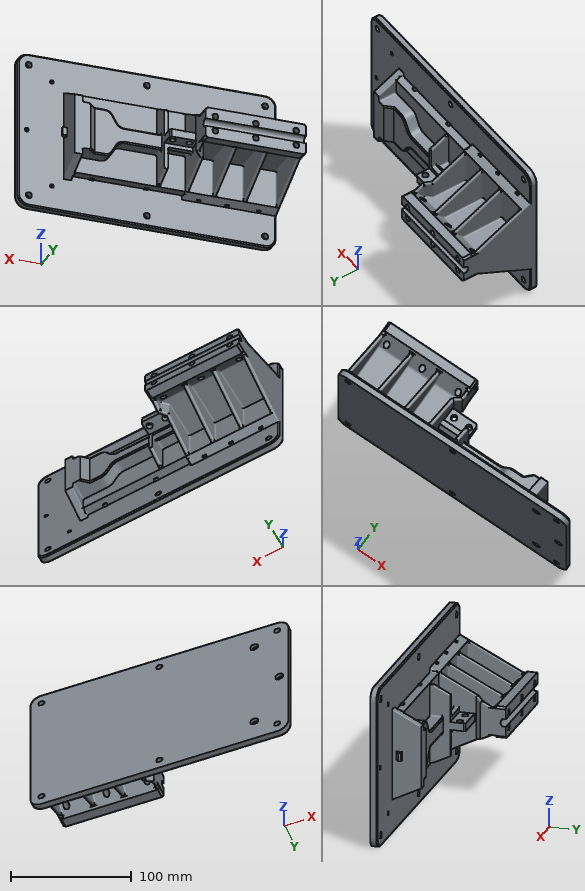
import cadquery as cq
import math

PLATE_LENGTH = 230.0
PLATE_HEIGHT = 140.0
PLATE_THICKNESS = 6.5
PLATE_CORNER_RADIUS = 10.0
PLATE_CHAMFER = 1.2
BOLT_DIAMETER = 5.3
SCREW_DIAMETER = 3.2
SCREW_HEAD_DIAMETER = 7.0
SCREW_HEAD_DEPTH = PLATE_THICKNESS / 2
SCREW_POSITIONS = [(199.6, 48.0), (199.6, -48.0), (222.0, 0)]

TOTAL_DEPTH = 73.8
BRACKET_LENGTH = 84.2
HEAD_LENGTH = 89.5
HEAD_HALF_HEIGHT = 13.8
HEAD_FRONT = 65.0
HEAD_END_CHAMFER = 1.8
NECK_DEPTH = 62.0
NECK_HALF_HEIGHT = HEAD_HALF_HEIGHT - HEAD_END_CHAMFER
FOOT_HALF_HEIGHT = 39.8
TAPER = (FOOT_HALF_HEIGHT - NECK_HALF_HEIGHT) / (NECK_DEPTH - PLATE_THICKNESS)
JOG_ANGLE = math.radians(45)
JOG_START = 46.5
JOG_END = JOG_START + (HEAD_LENGTH - BRACKET_LENGTH) * math.tan(JOG_ANGLE)

WEB_HALF = 2.8
RIB_THICKNESS = 3.2
RIB_ROUND = 1.4
RIB_CENTRES = [31.0, 58.2]
POCKET_FLOOR = 14.3
POCKET_FILLET = 1.4
FLARE_FILLET = 2.8
FLOOR_HALF_HEIGHT = FOOT_HALF_HEIGHT - TAPER * (POCKET_FLOOR - PLATE_THICKNESS)
CUT_MARGIN = 7.0
POCKET_OUTER = FOOT_HALF_HEIGHT + CUT_MARGIN

GROOVE_WIDTH = 7.0
GROOVE_CENTRE_DEPTH = 72.7
HEAD_HOLE_DIAMETER = 5.0
HEAD_HOLE_X = [8.7, 44.6, 80.7]
HEAD_HOLE_Z = 6.7

LUG_END = 109.5
LUG_HALF = 3.5
LUG_TOP = 45.0
LUG_SHOULDER = 31.7
LUG_BAND_BOTTOM = 27.0
LUG_BAND_HALF = 7.0
LUG_CORNER = 1.4
LUG_HOLE_DIAMETER = 5.3
LUG_HOLE_X = [90.0, 104.9]
LUG_HOLE_Y = 38.9

ARM_END = 189.3
ARM_FILLET = 1.8
BRACKET_SIDE_FILLET = 1.2
SPINE_TOP = 26.0
SPINE_CHAMFER = 1.2
STEP_CENTRE = 151.0
STEP_HALF_LENGTH = 8.7
STEP_BEND_LENGTH = 7.0
STEP_ANGLE = math.radians(60)
SPINE_HALF = 7.0
RAMP_START = 169.0
END_WALL_THICKNESS = 7.1
END_WALL_ROUND = 0.7
END_WALL_TOP = 31.7

HOOK_LENGTH = 4.1
HOOK_BOTTOM = 10.0
HOOK_TOP = 15.5
HOOK_TIP = 2.5
HOOK_WIDTH = 7.0
TAB_WIDTH = 3.5
TAB_TOP = 9.0
TAB_PROJECTION = 0.7
BRACKET_TAB_X = [16.3, 44.6, 70.0]
ARM_TAB_X = [116.2, 164.7]


def box(x_range, y_range, half_height):
    """Block centred on Z = 0."""
    size_x = x_range[1] - x_range[0]
    size_y = y_range[1] - y_range[0]
    block = cq.Workplane("XY").box(size_x, size_y, 2 * half_height, centered=(False, False, True))
    return block.translate((x_range[0], y_range[0], 0))


def slab_along_x(outline, x_range):
    """Extrude a (Y, Z) outline along X."""
    length = x_range[1] - x_range[0]
    return cq.Workplane("YZ", origin=(x_range[0], 0, 0)).polyline(outline).close().extrude(length)


def slab_along_z(outline, half_height):
    """Extrude an (X, Y) outline equally to both sides of Z = 0."""
    return cq.Workplane("XY").polyline(outline).close().extrude(half_height, both=True)


def hole_along_y(x, z, diameter, start, length):
    centre = cq.Vector(x, start, z)
    return cq.Workplane(cq.Solid.makeCylinder(diameter / 2, length, centre, cq.Vector(0, 1, 0)))


def with_mirror(body):
    """Join a body with its mirror image across Z = 0."""
    return body.union(body.mirror("XY"))


def taper_half_height(depth):
    return FOOT_HALF_HEIGHT - TAPER * (depth - PLATE_THICKNESS)


def make_plate():
    plate = cq.Workplane("XZ").rect(PLATE_LENGTH, PLATE_HEIGHT).extrude(-PLATE_THICKNESS)
    plate = plate.translate((PLATE_LENGTH / 2, 0, 0))
    plate = plate.edges("|Y").fillet(PLATE_CORNER_RADIUS)
    plate = plate.faces(">Y").edges().chamfer(PLATE_CHAMFER)
    edge = PLATE_CORNER_RADIUS
    for x in (edge, PLATE_LENGTH / 2, PLATE_LENGTH - edge):
        for z in (edge - PLATE_HEIGHT / 2, PLATE_HEIGHT / 2 - edge):
            plate = plate.cut(hole_along_y(x, z, BOLT_DIAMETER, 0, PLATE_THICKNESS))
    for x, z in SCREW_POSITIONS:
        plate = plate.cut(hole_along_y(x, z, SCREW_DIAMETER, 0, PLATE_THICKNESS))
        plate = plate.cut(hole_along_y(x, z, SCREW_HEAD_DIAMETER, 0, SCREW_HEAD_DEPTH))
    return plate


def tapered_outline(top):
    """Half outline of the taper from inside the plate up to a given depth."""
    foot = PLATE_THICKNESS / 2
    return [
        (foot, 0),
        (foot, FOOT_HALF_HEIGHT),
        (PLATE_THICKNESS, FOOT_HALF_HEIGHT),
        (top, taper_half_height(top)),
        (top, 0),
    ]


def round_slopes(rib, radius):
    """Round the long edges of the two sloping faces of a rib."""
    for direction in (TAPER, -TAPER):
        slope = cq.selectors.ParallelDirSelector(cq.Vector(0, 1, direction))
        rib = rib.edges(slope).fillet(radius)
    return rib


def make_bracket_blank():
    """Tapered body trimmed to the jogged end, with the head along its back."""
    outline = tapered_outline(NECK_DEPTH)[:-1]
    outline += [(HEAD_FRONT, NECK_HALF_HEIGHT), (HEAD_FRONT, 0)]
    body = with_mirror(slab_along_x(outline, (0, HEAD_LENGTH)))
    plan = [
        (0, 0),
        (BRACKET_LENGTH, 0),
        (BRACKET_LENGTH, JOG_START),
        (HEAD_LENGTH, JOG_END),
        (HEAD_LENGTH, TOTAL_DEPTH),
        (0, TOTAL_DEPTH),
    ]
    body = body.intersect(slab_along_z(plan, POCKET_OUTER))
    for x_start, x_end in ((0, RIB_THICKNESS), (BRACKET_LENGTH - RIB_THICKNESS, HEAD_LENGTH)):
        rim = cq.selectors.BoxSelector(
            (x_start - RIB_THICKNESS, POCKET_FLOOR, -POCKET_OUTER),
            (x_end + RIB_THICKNESS, NECK_DEPTH - RIB_THICKNESS, POCKET_OUTER),
        )
        body = body.edges(rim).edges("not |Z").fillet(RIB_ROUND)
    head = box((0, HEAD_LENGTH), (HEAD_FRONT, TOTAL_DEPTH), HEAD_HALF_HEIGHT)
    head = head.edges("|Y").chamfer(HEAD_END_CHAMFER)
    flare_drop = HEAD_HALF_HEIGHT - WEB_HALF
    flare_outline = [
        (HEAD_FRONT, 0),
        (HEAD_FRONT, HEAD_HALF_HEIGHT),
        (HEAD_FRONT - flare_drop, WEB_HALF),
        (HEAD_FRONT - flare_drop, 0),
    ]
    flare = with_mirror(slab_along_x(flare_outline, (RIB_THICKNESS, HEAD_LENGTH - RIB_THICKNESS)))
    return body.union(head).union(flare)


def make_pocket(left, right_plan):
    """Pocket on the +Z side, bounded by a rib on the left and a plan line on the right."""
    flare_drop = HEAD_HALF_HEIGHT - WEB_HALF
    reach = POCKET_OUTER - WEB_HALF
    outline = [
        (POCKET_FLOOR, WEB_HALF),
        (HEAD_FRONT - flare_drop, WEB_HALF),
        (HEAD_FRONT - flare_drop + reach, POCKET_OUTER),
        (POCKET_FLOOR, POCKET_OUTER),
    ]
    plan = [(left, 0)] + right_plan + [(left, right_plan[-1][1])]
    pocket = slab_along_x(outline, (left, HEAD_LENGTH)).intersect(slab_along_z(plan, POCKET_OUTER))
    pocket = pocket.edges("|X and (not >Z)").edges(">Y").fillet(FLARE_FILLET)
    walls = pocket.edges("not >Z").edges("not(|X and <Y)")
    pocket = walls.fillet(POCKET_FILLET)
    return pocket.intersect(box((0, HEAD_LENGTH), (0, HEAD_FRONT), POCKET_OUTER))


def end_wall_inner_line():
    """Plan line of the inner face of the jogged end wall, at constant wall thickness."""
    inner_end = BRACKET_LENGTH - RIB_THICKNESS
    inner_head_end = HEAD_LENGTH - RIB_THICKNESS
    jog_shift = RIB_THICKNESS * math.tan(JOG_ANGLE / 2)
    return [
        (inner_end, 0),
        (inner_end, JOG_START + jog_shift),
        (inner_head_end, JOG_END + jog_shift),
        (inner_head_end, TOTAL_DEPTH + POCKET_OUTER),
    ]


def make_pockets():
    half_rib = RIB_THICKNESS / 2
    far = TOTAL_DEPTH + POCKET_OUTER
    lefts = [RIB_THICKNESS] + [x + half_rib for x in RIB_CENTRES]
    rights = [[(x - half_rib, 0), (x - half_rib, far)] for x in RIB_CENTRES]
    rights.append(end_wall_inner_line())
    pockets = make_pocket(lefts[0], rights[0])
    for left, right in zip(lefts[1:], rights[1:]):
        pockets = pockets.union(make_pocket(left, right))
    return with_mirror(pockets)


def make_rib_rounding():
    """Slivers to cut from the sloping rib tops above the pocket floor so that they are rounded."""
    outline = [
        (POCKET_FLOOR, 0),
        (POCKET_FLOOR, FLOOR_HALF_HEIGHT),
        (NECK_DEPTH, NECK_HALF_HEIGHT),
        (NECK_DEPTH, 0),
    ]
    sloping = "not(|X or |Z or <Z)"
    half_rib = RIB_THICKNESS / 2
    left_wall = slab_along_x(outline, (0, RIB_THICKNESS))
    slivers = left_wall.cut(left_wall.edges(sloping).edges(">X").fillet(RIB_ROUND))
    for x in RIB_CENTRES:
        rib = slab_along_x(outline, (x - half_rib, x + half_rib))
        slivers = slivers.union(rib.cut(rib.edges(sloping).fillet(RIB_ROUND)))
    inner = end_wall_inner_line()
    beyond = HEAD_LENGTH + RIB_THICKNESS
    plan = inner + [(beyond, inner[-1][1]), (beyond, 0)]
    right_wall = slab_along_x(outline, (0, beyond)).intersect(slab_along_z(plan, POCKET_OUTER))
    slivers = slivers.union(right_wall.cut(right_wall.edges(sloping).edges("not >X").fillet(RIB_ROUND)))
    return with_mirror(slivers)


def make_head_cuts():
    """Round-bottomed groove along the back of the head and the head's screw holes."""
    cuts = box((0, HEAD_LENGTH), (GROOVE_CENTRE_DEPTH, TOTAL_DEPTH), GROOVE_WIDTH / 2)
    groove_start = cq.Vector(0, GROOVE_CENTRE_DEPTH, 0)
    groove = cq.Solid.makeCylinder(GROOVE_WIDTH / 2, HEAD_LENGTH, groove_start, cq.Vector(1, 0, 0))
    cuts = cuts.union(cq.Workplane(groove))
    start = HEAD_FRONT - HEAD_HALF_HEIGHT + WEB_HALF
    for x in HEAD_HOLE_X:
        for z in (-HEAD_HOLE_Z, HEAD_HOLE_Z):
            cuts = cuts.union(hole_along_y(x, z, HEAD_HOLE_DIAMETER, start, TOTAL_DEPTH - start))
    return cuts


def flared_bar(x_range, y_range, half_height):
    """Bar from the bracket's side to a wall, flaring tangentially into both, centred on Z = 0."""
    start, end = x_range
    embed = RIB_THICKNESS / 2
    bar = (
        cq.Workplane("XZ", origin=(0, y_range[1], 0))
        .moveTo(start - embed, 0)
        .lineTo(start - embed, half_height + BRACKET_SIDE_FILLET)
        .lineTo(start, half_height + BRACKET_SIDE_FILLET)
        .radiusArc((start + BRACKET_SIDE_FILLET, half_height), -BRACKET_SIDE_FILLET)
        .lineTo(end - ARM_FILLET, half_height)
        .radiusArc((end, half_height + ARM_FILLET), -ARM_FILLET)
        .lineTo(end + embed, half_height + ARM_FILLET)
        .lineTo(end + embed, 0)
        .close()
        .extrude(y_range[1] - y_range[0])
    )
    return with_mirror(bar)


def make_lug():
    """Upright lug with two cross holes, above a thicker band."""
    start = BRACKET_LENGTH - RIB_THICKNESS
    lug = box((start, LUG_END), (PLATE_THICKNESS, LUG_TOP), LUG_HALF)
    lug = lug.edges("|Z and >X and >Y").chamfer(LUG_CORNER)
    web_range = (BRACKET_LENGTH, LUG_END - RIB_THICKNESS)
    lug = lug.union(flared_bar(web_range, (PLATE_THICKNESS, LUG_BAND_BOTTOM), LUG_HALF))
    band_outline = [
        (LUG_SHOULDER, 0),
        (LUG_SHOULDER, LUG_BAND_HALF),
        (LUG_BAND_BOTTOM, LUG_BAND_HALF),
        (LUG_BAND_BOTTOM - (LUG_BAND_HALF - LUG_HALF), LUG_HALF),
        (LUG_BAND_BOTTOM - (LUG_BAND_HALF - LUG_HALF), 0),
    ]
    lug = lug.union(with_mirror(slab_along_x(band_outline, (start, LUG_END))))
    lug = lug.union(flared_bar(web_range, (LUG_BAND_BOTTOM, LUG_SHOULDER), LUG_BAND_HALF))
    for x in LUG_HOLE_X:
        hole = cq.Workplane("XY").center(x, LUG_HOLE_Y).circle(LUG_HOLE_DIAMETER / 2)
        lug = lug.cut(hole.extrude(LUG_HALF, both=True))
    return lug


def make_spine():
    """Spine of the arm: its sides step outward through two tangent bends and flare at both ends."""
    radius = STEP_BEND_LENGTH / math.sin(STEP_ANGLE)
    rise = radius * (1 - math.cos(STEP_ANGLE))
    mid_x = radius * math.sin(STEP_ANGLE / 2)
    mid_z = radius * (1 - math.cos(STEP_ANGLE / 2))
    straight = 2 * (STEP_HALF_LENGTH - STEP_BEND_LENGTH)
    wide_half = SPINE_HALF + 2 * rise + straight * math.tan(STEP_ANGLE)
    first = STEP_CENTRE - STEP_HALF_LENGTH
    last = STEP_CENTRE + STEP_HALF_LENGTH
    start = LUG_END - RIB_THICKNESS
    wall_start = ARM_END - END_WALL_THICKNESS
    spine = (
        cq.Workplane("XZ", origin=(0, END_WALL_TOP, 0))
        .moveTo(start, 0)
        .lineTo(start, SPINE_HALF + ARM_FILLET)
        .lineTo(LUG_END, SPINE_HALF + ARM_FILLET)
        .radiusArc((LUG_END + ARM_FILLET, SPINE_HALF), -ARM_FILLET)
        .lineTo(first, SPINE_HALF)
        .threePointArc((first + mid_x, SPINE_HALF + mid_z), (first + STEP_BEND_LENGTH, SPINE_HALF + rise))
        .lineTo(last - STEP_BEND_LENGTH, wide_half - rise)
        .threePointArc((last - mid_x, wide_half - mid_z), (last, wide_half))
        .lineTo(wall_start - ARM_FILLET, wide_half)
        .radiusArc((wall_start, wide_half + ARM_FILLET), -ARM_FILLET)
        .lineTo(wall_start, 0)
        .close()
        .extrude(END_WALL_TOP - PLATE_THICKNESS)
    )
    ramp_run = END_WALL_TOP - SPINE_TOP
    side_outline = [
        (start, 0),
        (ARM_END, 0),
        (ARM_END, END_WALL_TOP),
        (RAMP_START + ramp_run, END_WALL_TOP),
        (RAMP_START, SPINE_TOP),
        (start, SPINE_TOP),
    ]
    spine = with_mirror(spine).intersect(slab_along_z(side_outline, POCKET_OUTER))
    rim = cq.selectors.BoxSelector(
        (start, SPINE_TOP - SPINE_CHAMFER, -POCKET_OUTER),
        (ARM_END, END_WALL_TOP - SPINE_CHAMFER, POCKET_OUTER),
    )
    return spine.edges(rim).edges("not |Z").chamfer(SPINE_CHAMFER)


def make_arm():
    """Spine between the post under the lug and the end wall, standing on a flat base."""
    inside_base = box((0, PLATE_LENGTH), (0, LUG_SHOULDER), FLOOR_HALF_HEIGHT - RIB_ROUND)
    post = with_mirror(slab_along_x(tapered_outline(LUG_SHOULDER), (LUG_END - RIB_THICKNESS, LUG_END)))
    post = round_slopes(post, RIB_ROUND).intersect(inside_base)
    wall_start = ARM_END - END_WALL_THICKNESS
    end_wall = with_mirror(slab_along_x(tapered_outline(END_WALL_TOP), (wall_start, ARM_END)))
    end_wall = round_slopes(end_wall, END_WALL_ROUND)
    arm = make_spine().union(post).union(end_wall)
    base = flared_bar((BRACKET_LENGTH, wall_start), (PLATE_THICKNESS, POCKET_FLOOR), FLOOR_HALF_HEIGHT)
    taper = with_mirror(slab_along_x(tapered_outline(END_WALL_TOP), (0, ARM_END)))
    return arm.union(base.intersect(taper))


def make_hook():
    """Small hook on the outer face of the end wall."""
    tip = ARM_END + HOOK_LENGTH
    outline = [
        (ARM_END, HOOK_BOTTOM),
        (tip, HOOK_TOP - HOOK_TIP),
        (tip, HOOK_TOP),
        (ARM_END, HOOK_TOP),
    ]
    return slab_along_z(outline, HOOK_WIDTH / 2)


def make_tabs():
    """Low tabs at the foot of the bracket and of the arm, on both sides."""
    tabs = cq.Workplane("XY")
    for xs, half_height in ((BRACKET_TAB_X, taper_half_height(TAB_TOP)), (ARM_TAB_X, FLOOR_HALF_HEIGHT)):
        for x in xs:
            x_range = (x - TAB_WIDTH / 2, x + TAB_WIDTH / 2)
            tabs = tabs.add(box(x_range, (PLATE_THICKNESS, TAB_TOP), half_height + TAB_PROJECTION))
    return tabs.combine()


result = make_bracket_blank().cut(make_pockets()).cut(make_rib_rounding())
result = result.union(make_lug()).union(make_arm()).union(make_hook()).union(make_tabs())
result = result.cut(make_head_cuts()).union(make_plate())